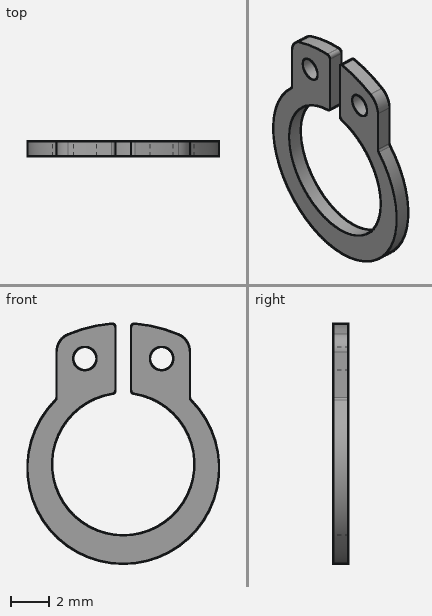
import cadquery as cq
import math

thickness = 0.8
bore_radius = 3.7
rim_radius = 5.0
rim_drop = 0.2
lug_half_width = 3.48
lug_tip_radius = 7.35
gap_width = 0.8
hole_diameter = 1.2
hole_x = 2.0
hole_z = 5.5
shoulder_radius = 1.0
gap_corner_radius = 0.2
root_radius = 0.2


def disc(radius, center_x=0.0, center_z=0.0):
    """Disc of the ring thickness, with Y = 0 as its mid-plane."""
    back_plane = cq.Workplane("XZ", origin=(center_x, thickness / 2, center_z))
    return back_plane.circle(radius).extrude(thickness)


def upright_block(width, height):
    """Block standing on the bore axis, centred in X and Y."""
    return cq.Workplane("XY").box(width, thickness, height, centered=(True, True, False))


def corner_edges(body, x, z):
    """Through-thickness edges nearest the mirrored points (x, z) and (-x, z)."""
    picks = [body.edges("|Y").edges(cq.NearestToPointSelector((side * x, 0, z))) for side in (-1, 1)]
    return picks[0].add(picks[1])


def make_blank():
    """Eccentric rim joined to the lug pair, before the gap is cut."""
    lugs = upright_block(2 * lug_half_width, lug_tip_radius).intersect(disc(lug_tip_radius))
    return disc(rim_radius, center_z=-rim_drop).union(lugs)


def cut_bore_and_gap(body):
    return body.cut(disc(bore_radius)).cut(upright_block(gap_width, lug_tip_radius))


def round_corners(body):
    gap_x = gap_width / 2
    shoulder_z = math.sqrt(lug_tip_radius**2 - lug_half_width**2)
    gap_top_z = math.sqrt(lug_tip_radius**2 - gap_x**2)
    gap_bottom_z = math.sqrt(bore_radius**2 - gap_x**2)
    root_z = math.sqrt(rim_radius**2 - lug_half_width**2) - rim_drop
    body = corner_edges(body, lug_half_width, root_z).fillet(root_radius)
    body = corner_edges(body, lug_half_width, shoulder_z).fillet(shoulder_radius)
    body = corner_edges(body, gap_x, gap_top_z).fillet(gap_corner_radius)
    return corner_edges(body, gap_x, gap_bottom_z).fillet(gap_corner_radius)


def drill_plier_holes(body):
    for side in (-1, 1):
        body = body.cut(disc(hole_diameter / 2, side * hole_x, hole_z))
    return body


result = drill_plier_holes(round_corners(cut_bore_and_gap(make_blank())))